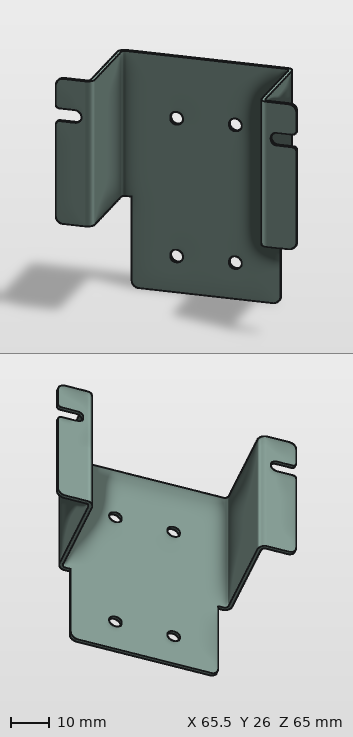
import cadquery as cq

overall_width = 65.5
overall_depth = 26.0
overall_height = 65.0
sheet_thickness = 1.0
inner_bend_radius = 1.0
outer_bend_radius = inner_bend_radius + sheet_thickness

channel_width = 47.5
channel_height = 40.0
tongue_width = 40.5
corner_radius = 2.0

hole_diameter = 3.5
hole_spacing_x = 16.0
hole_spacing_z = 38.0
upper_hole_depth_below_top = 17.0

slot_width = 3.5
slot_length = 7.0
slot_depth_below_top = 10.0
slot_mouth_radius = 1.0

selection_margin = 0.1

half_width = overall_width / 2
wall_outer_x = channel_width / 2
wall_inner_x = wall_outer_x - sheet_thickness
back_inner_y = overall_depth - sheet_thickness


def vertical_edge_at(x, y):
    """Select the bend edge, parallel to Z, that passes through (x, y)."""
    return cq.selectors.BoxSelector(
        (x - selection_margin, y - selection_margin, -channel_height),
        (x + selection_margin, y + selection_margin, 0),
    )


def make_channel():
    """Bent hat section, extruded down from the top edge, with rounded flange corners."""
    outline = [
        (-half_width, 0),
        (-wall_inner_x, 0),
        (-wall_inner_x, back_inner_y),
        (wall_inner_x, back_inner_y),
        (wall_inner_x, 0),
        (half_width, 0),
        (half_width, sheet_thickness),
        (wall_outer_x, sheet_thickness),
        (wall_outer_x, overall_depth),
        (-wall_outer_x, overall_depth),
        (-wall_outer_x, sheet_thickness),
        (-half_width, sheet_thickness),
    ]
    channel = cq.Workplane("XY").polyline(outline).close().extrude(-channel_height)
    for side in (-1, 1):
        inside_corners = [(wall_inner_x, back_inner_y), (wall_outer_x, sheet_thickness)]
        outside_corners = [(wall_outer_x, overall_depth), (wall_inner_x, 0)]
        for x, y in inside_corners:
            channel = channel.edges(vertical_edge_at(side * x, y)).fillet(inner_bend_radius)
        for x, y in outside_corners:
            channel = channel.edges(vertical_edge_at(side * x, y)).fillet(outer_bend_radius)
    return channel.faces("<X or >X").edges("|Y").fillet(corner_radius)


def make_tongue():
    """Flat extension of the back plate, reaching below the side walls."""
    return (
        cq.Workplane("XY")
        .box(tongue_width, sheet_thickness, overall_height, centered=(True, False, False))
        .translate((0, back_inner_y, -overall_height))
        .edges("|Y and <Z")
        .fillet(corner_radius)
    )


def cut_slot(body, side):
    """Open a round-ended slot from the outer edge of one flange and round its mouth."""
    slot_end_x = half_width - slot_length
    end_center_x = slot_end_x + slot_width / 2
    slot_bottom_z = -slot_depth_below_top - slot_width / 2
    slot_top_z = slot_bottom_z + slot_width
    slot = (
        cq.Workplane("XZ")
        .moveTo(side * half_width, slot_top_z)
        .lineTo(side * end_center_x, slot_top_z)
        .threePointArc(
            (side * slot_end_x, -slot_depth_below_top),
            (side * end_center_x, slot_bottom_z),
        )
        .lineTo(side * half_width, slot_bottom_z)
        .close()
        .extrude(-sheet_thickness)
    )
    mouth = cq.selectors.BoxSelector(
        (side * half_width - selection_margin, 0, slot_bottom_z - selection_margin),
        (side * half_width + selection_margin, sheet_thickness, slot_top_z + selection_margin),
    )
    return body.cut(slot).edges("|Y").edges(mouth).fillet(slot_mouth_radius)


def make_holes():
    """Four round cutters through the back plate."""
    pattern_center_z = -upper_hole_depth_below_top - hole_spacing_z / 2
    return (
        cq.Workplane("XZ", origin=(0, overall_depth, pattern_center_z))
        .rarray(hole_spacing_x, hole_spacing_z, 2, 2)
        .circle(hole_diameter / 2)
        .extrude(sheet_thickness)
    )


bracket = make_channel().union(make_tongue())
for flange_side in (-1, 1):
    bracket = cut_slot(bracket, flange_side)
result = bracket.cut(make_holes())